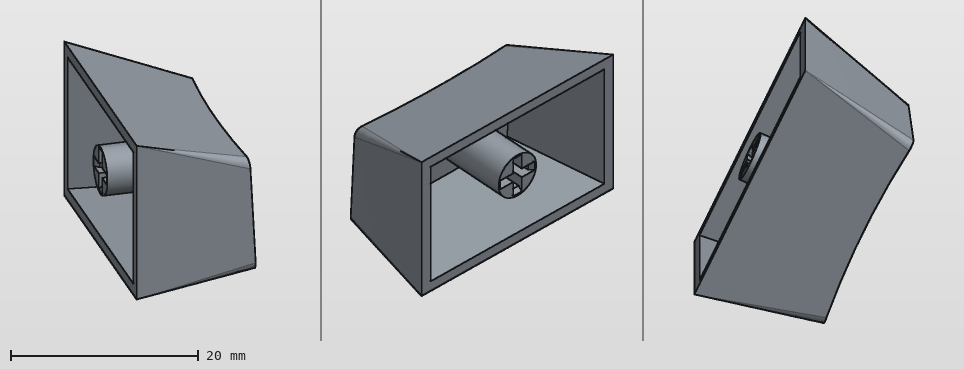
import cadquery as cq
import math

rim_width = 27.75
rim_height = 18.0
wall = 1.3
rim_corner_radius = 0.003

roof_width = 22.6
roof_height = 13.07
roof_corner_radius = 1.0
roof_center_y = 13.68
roof_center_z = -2.05
roof_tilt = 3.0

roof_thickness = 1.25
cavity_roof_width = 20.37
cavity_roof_height = 10.82
cavity_roof_center_z = -1.9

dish_radius = 98.5
dish_side_depth = 0.015
dish_length = 2 * rim_height

stem_radius = 2.72
socket_length = 4.0
socket_horizontal_width = 1.17
socket_vertical_width = 1.25
socket_lead_in = 0.5

tilt = math.radians(roof_tilt)
rim_plane = cq.Plane(origin=(0, 0, 0), xDir=(-1, 0, 0), normal=(0, 1, 0))


def roof_y(z):
    """Y of the flat outer roof plane at height z."""
    return roof_center_y - (z - roof_center_z) * math.tan(tilt)


def roof_plane(center_z, depth):
    """Plane parallel to the roof and depth below it: local x is -X, local y points up the roof."""
    return cq.Plane(
        origin=(0, roof_y(center_z) - depth / math.cos(tilt), center_z),
        xDir=(-1, 0, 0),
        normal=(0, math.cos(tilt), math.sin(tilt)),
    )


def rectangle_wire(plane, width, height, corner_radius):
    """Rectangle centred on a plane, rounded when a corner radius is given."""
    face = cq.Face.makePlane(length=height, width=width)
    if corner_radius:
        face = face.fillet2D(corner_radius, face.Vertices())
    return face.outerWire().moved(plane.location)


def dished_frustum(base_size, top_size, top_plane, base_radius=0.0, top_radius=0.0):
    """Ruled loft from the rim plane to the top plane, its top hollowed by the finger dish."""
    base_wire = rectangle_wire(rim_plane, *base_size, base_radius)
    top_wire = rectangle_wire(top_plane, *top_size, top_radius)
    body = cq.Workplane(cq.Solid.makeLoft([base_wire, top_wire], True))
    axis_height = math.sqrt(dish_radius**2 - (top_size[0] / 2) ** 2) - dish_side_depth
    dish = (
        cq.Workplane(top_plane)
        .transformed(rotate=(90, 0, 0), offset=(0, 0, axis_height))
        .circle(dish_radius)
        .extrude(dish_length / 2, both=True)
    )
    return body.cut(dish)


def stem():
    """Round post, long enough to reach the roof from the rim plane."""
    return cq.Workplane(rim_plane).circle(stem_radius).extrude(roof_center_y)


def socket_arm(width):
    """Slot along X, cut up from the rim plane, with 45 degree lead-ins at both ends."""
    half = socket_length / 2
    mouth = half + socket_lead_in
    profile = [
        (-mouth, 0),
        (mouth, 0),
        (half, socket_lead_in),
        (half, roof_center_y),
        (-half, roof_center_y),
        (-half, socket_lead_in),
    ]
    return cq.Workplane("XY").polyline(profile).close().extrude(width / 2, both=True)


outer = dished_frustum(
    (rim_width, rim_height),
    (roof_width, roof_height),
    roof_plane(roof_center_z, 0),
    rim_corner_radius,
    roof_corner_radius,
)
cavity = dished_frustum(
    (rim_width - 2 * wall, rim_height - 2 * wall),
    (cavity_roof_width, cavity_roof_height),
    roof_plane(cavity_roof_center_z, roof_thickness),
)
horizontal_arm = socket_arm(socket_horizontal_width)
vertical_arm = socket_arm(socket_vertical_width).rotate((0, 0, 0), (0, 1, 0), 90)
socketed_stem = stem().cut(horizontal_arm).cut(vertical_arm)

result = outer.cut(cavity.cut(socketed_stem))